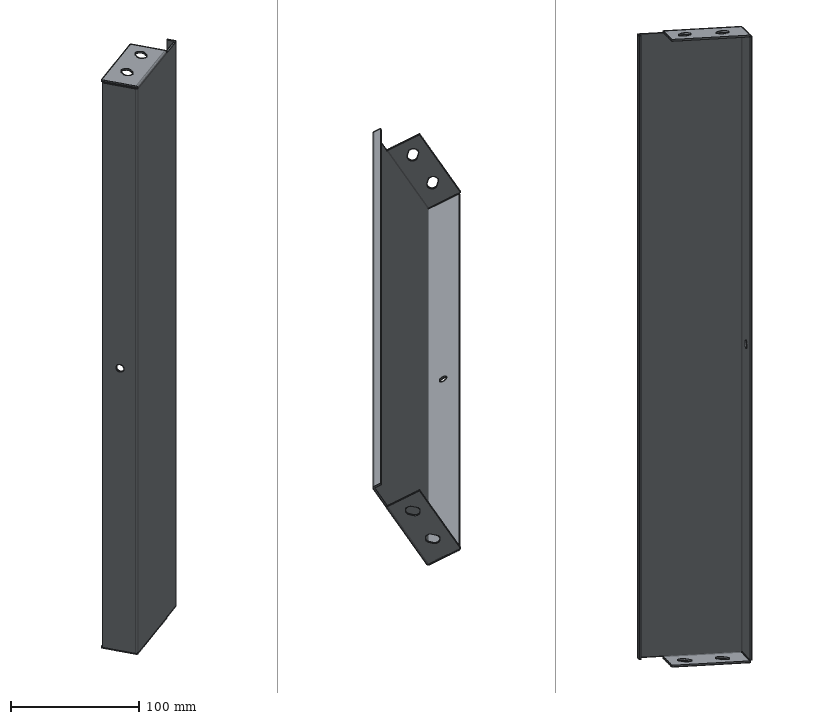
import cadquery as cq

width = 30.5
depth = 85.0
height = 504.0

sheet = 1.5
bend_radius = 1.7
inner_bend_radius = bend_radius - sheet

lip_width = 7.5
end_flange_depth = 64.5
wall_setback = 1.5

slot_width = 8.0
slot_length = 11.5
slot_slant = 45
slot_x = 14.0
slot_ys = (20.5, 51.0)

wall_hole_diameter = 6.5


def make_channel():
    """Web with the front wall and rear lip, ending where the end flanges bend away."""
    length = height - 2 * bend_radius
    outside = (
        cq.Workplane("XY", origin=(0, 0, bend_radius))
        .rect(width, depth, centered=False)
        .extrude(length)
        .edges("|Z and >X")
        .fillet(bend_radius)
    )
    inside = (
        cq.Workplane("XY", origin=(0, sheet, bend_radius))
        .rect(width - sheet, depth - 2 * sheet, centered=False)
        .extrude(length)
        .edges("|Z and >X")
        .fillet(inner_bend_radius)
    )
    wall_trim = cq.Workplane("XY").box(wall_setback, depth, height, centered=False)
    lip_trim = (
        cq.Workplane("XY", origin=(0, depth - sheet, 0))
        .box(width - lip_width, sheet, height, centered=False)
    )
    return outside.cut(inside).cut(wall_trim).cut(lip_trim)


def make_bottom_flange(slot_angle):
    """Slotted bottom flange with its bend up into the web."""
    flange = (
        cq.Workplane("XZ", origin=(0, bend_radius, 0))
        .moveTo(0, 0)
        .lineTo(width - bend_radius, 0)
        .radiusArc((width, bend_radius), -bend_radius)
        .lineTo(width - sheet, bend_radius)
        .radiusArc((width - bend_radius, sheet), inner_bend_radius)
        .lineTo(0, sheet)
        .close()
        .extrude(-(end_flange_depth - bend_radius))
    )
    slots = (
        cq.Workplane("XY")
        .pushPoints([(slot_x, slot_y) for slot_y in slot_ys])
        .slot2D(slot_length, slot_width, slot_angle)
        .extrude(sheet)
    )
    return flange.cut(slots)


wall_hole = (
    cq.Workplane("XZ")
    .center((wall_setback + width) / 2, height / 2)
    .circle(wall_hole_diameter / 2)
    .extrude(-sheet)
)

bottom_flange = make_bottom_flange(slot_slant)
top_flange = make_bottom_flange(-slot_slant).mirror("XY", (0, 0, height / 2))
result = make_channel().cut(wall_hole).union(bottom_flange).union(top_flange)